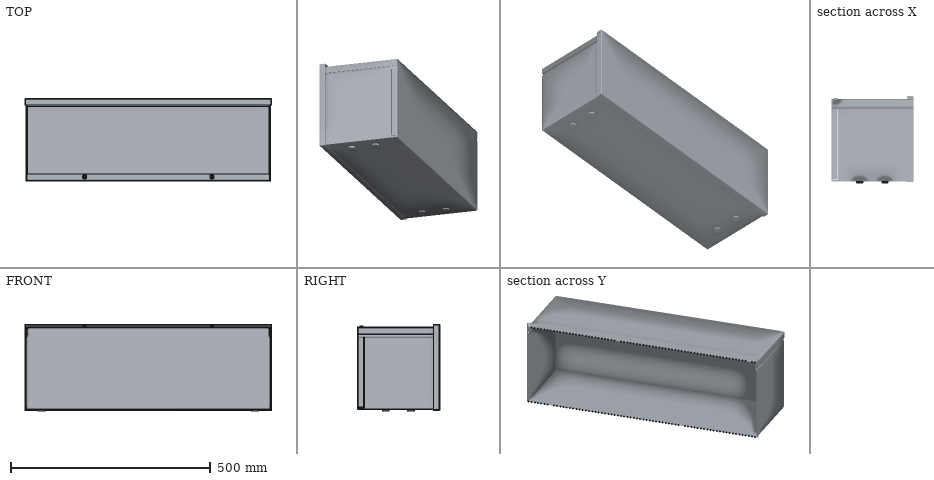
import cadquery as cq

LENGTH = 619.0
DEPTH = 206.0
TRAY_HEIGHT = 215.5
FOOT_DROP = 2.0

SHEET = 1.5
HOUSING_BEND = 2.5
LID_BEND = 3.0
TRAY_BEND = 2.0

RIM_DEPTH = 16.0

CLEARANCE = 1.0
HALF_WIDTH = LENGTH / 2 - SHEET - CLEARANCE
HOUSING_BACK = DEPTH - SHEET
LID_STEP = 7.0
LID_TOP = TRAY_HEIGHT - LID_STEP
HOUSING_TOP = LID_TOP - SHEET
SKIRT_HEIGHT = 17.5
SKIRT_BOTTOM = LID_TOP - SKIRT_HEIGHT
JOGGLE_DROP = 1.0
JOGGLE_HEIGHT = 7.0
JOGGLE_TOP = SKIRT_BOTTOM - JOGGLE_DROP
JOGGLE_BOTTOM = JOGGLE_TOP - JOGGLE_HEIGHT
JOGGLE_DEPTH = 2.5
JOGGLE_BEND = 4.0
FRONT_FLANGE = 17.0
BACK_FLANGE = 19.0

FLAP_LENGTH = 15.5
FLAP_RISE = 5.0
FLAP_BOTTOM = SHEET + FLAP_RISE
SLIT = 0.5

SCREW_X = 160.0
SCREW_Y = 10.0
SCREW_FLANGE_DIAMETER = 10.5
SCREW_FLANGE_HEIGHT = 0.5
SCREW_HEAD_DIAMETER = 8.0
SCREW_HEAD_HEIGHT = 2.5
SCREW_SHANK_DIAMETER = 6.0
SCREW_SOCKET_DIAMETER = 4.8
SCREW_SOCKET_DEPTH = 1.0

FOOT_DIAMETER = 17.5
FOOT_END_DISTANCE = 41.5
FOOT_X = LENGTH / 2 - FOOT_END_DISTANCE
FOOT_Y = (70.5, 134.0)


def box(x0, x1, y0, y1, z0, z1):
    return cq.Workplane("XY").box(x1 - x0, y1 - y0, z1 - z0, centered=False).translate((x0, y0, z0))


def cylinder(diameter, x, y, z0, z1):
    return cq.Workplane("XY", origin=(x, y, z0)).circle(diameter / 2).extrude(z1 - z0)


def housing_block(inset):
    """Housing outline with stepped-in upper sides, drawn in by `inset` and rounded at the bends."""
    wide = HALF_WIDTH - inset
    narrow = wide - JOGGLE_DEPTH
    bottom = SHEET + inset
    top = HOUSING_TOP - inset
    outline = [
        (-wide, bottom), (wide, bottom),
        (wide, JOGGLE_BOTTOM), (narrow, JOGGLE_TOP),
        (narrow, top), (-narrow, top),
        (-narrow, JOGGLE_TOP), (-wide, JOGGLE_BOTTOM),
    ]
    block = (
        cq.Workplane("XZ", origin=(0, HOUSING_BACK, 0))
        .polyline(outline).close()
        .extrude(HOUSING_BACK - inset)
    )
    lower_creases = cq.selectors.BoxSelector(
        (-LENGTH, -DEPTH, JOGGLE_BOTTOM - SLIT), (LENGTH, 2 * DEPTH, JOGGLE_BOTTOM + SLIT)
    )
    block = block.edges("|Y").edges(lower_creases).fillet(JOGGLE_BEND - inset)
    return block.faces("<Y").edges().fillet(HOUSING_BEND - inset)


def make_housing():
    housing = housing_block(0).cut(housing_block(SHEET))

    opening_half = HALF_WIDTH - JOGGLE_DEPTH - SHEET
    housing = housing.cut(
        box(-opening_half, opening_half, FRONT_FLANGE, DEPTH - BACK_FLANGE, HOUSING_TOP - SHEET, HOUSING_TOP)
    )

    for side in (-1, 1):
        wall = sorted((side * (HALF_WIDTH - SHEET), side * HALF_WIDTH))
        housing = housing.cut(box(*wall, FLAP_LENGTH, FLAP_LENGTH + SLIT, FLAP_BOTTOM, JOGGLE_BOTTOM))
        housing = housing.cut(box(*wall, HOUSING_BEND, FLAP_LENGTH, FLAP_BOTTOM, FLAP_BOTTOM + SLIT))

    for x in (-SCREW_X, SCREW_X):
        housing = housing.cut(
            cylinder(SCREW_SHANK_DIAMETER, x, SCREW_Y, HOUSING_TOP - SHEET, HOUSING_TOP)
        )
    return housing


def make_lid():
    outer = box(-HALF_WIDTH, HALF_WIDTH, 0, HOUSING_BACK, SKIRT_BOTTOM, LID_TOP)
    outer = outer.edges("|Y and >Z").fillet(LID_BEND)
    inner_half = HALF_WIDTH - SHEET
    lid = outer.cut(box(-inner_half, inner_half, 0, HOUSING_BACK, SKIRT_BOTTOM, HOUSING_TOP))
    for x in (-SCREW_X, SCREW_X):
        lid = lid.cut(cylinder(SCREW_SHANK_DIAMETER, x, SCREW_Y, HOUSING_TOP, LID_TOP))
    return lid


def make_tray():
    half = LENGTH / 2
    tray = box(-half, half, DEPTH - RIM_DEPTH, DEPTH, 0, TRAY_HEIGHT)
    tray = tray.faces(">Y").edges().fillet(TRAY_BEND)
    inner_half = half - SHEET
    cavity = box(
        -inner_half, inner_half, DEPTH - RIM_DEPTH, HOUSING_BACK, SHEET, TRAY_HEIGHT - SHEET
    )
    return tray.cut(cavity)


def make_screw(x):
    head_top = LID_TOP + SCREW_HEAD_HEIGHT
    screw = cylinder(SCREW_HEAD_DIAMETER, x, SCREW_Y, LID_TOP, head_top)
    flange_top = LID_TOP + SCREW_FLANGE_HEIGHT
    screw = screw.union(cylinder(SCREW_FLANGE_DIAMETER, x, SCREW_Y, LID_TOP, flange_top))
    screw = screw.union(cylinder(SCREW_SHANK_DIAMETER, x, SCREW_Y, HOUSING_TOP - SHEET, LID_TOP))
    return screw.cut(cylinder(SCREW_SOCKET_DIAMETER, x, SCREW_Y, head_top - SCREW_SOCKET_DEPTH, head_top))


def make_foot(x, y):
    return cylinder(FOOT_DIAMETER, x, y, -FOOT_DROP, SHEET)


tray = make_tray()
housing = make_housing()
lid = make_lid()
screws = [make_screw(x) for x in (-SCREW_X, SCREW_X)]
feet = [make_foot(x, y) for x in (-FOOT_X, FOOT_X) for y in FOOT_Y]

bodies = [tray, housing, lid, *screws, *feet]
result = cq.Compound.makeCompound([body.val() for body in bodies])